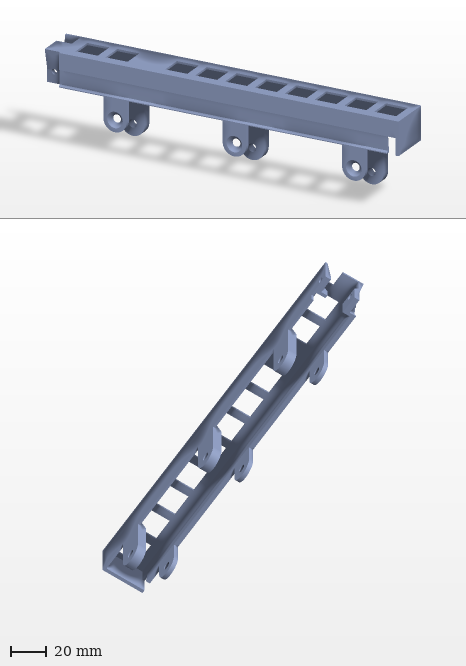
import cadquery as cq

LENGTH = 226.5
WIDTH = 27.2
BODY_HEIGHT = 21.0
X_LEFT = -LENGTH / 2
X_RIGHT = LENGTH / 2
Y_FRONT = -WIDTH / 2
Y_BACK = WIDTH / 2

WALL = 1.5
PLATE = 1.4
END_WALL = 2.0

GROOVE_TOP = -10.5
GROOVE_BOTTOM = -19.5
GROOVE_DEPTH_TOP = 0.57
GROOVE_DEPTH = GROOVE_DEPTH_TOP + 0.5
LIP_TOP = GROOVE_BOTTOM - GROOVE_DEPTH

NOTCH_LENGTH = 5.5

TAB_LENGTH = 9.7
X_RIB = X_LEFT + TAB_LENGTH
RIB_THICKNESS = 2.0
OPENING_HALF_TOP = 8.5
OPENING_HALF_BOTTOM = 6.0
OPENING_SLOPE_TOP = -8.4
OPENING_SLOPE_BOTTOM = -11.3
BACK_TAB_BOTTOM = -16.3
BACK_RELIEF_LENGTH = 4.5
TAB_SLOPE_BOTTOM = -13.1
FRONT_TAB_SETBACK_TOP = 1.4
FRONT_TAB_SETBACK_BOTTOM = 4.3
BACK_TAB_THICKNESS_TOP = 1.4
BACK_TAB_THICKNESS_BOTTOM = 3.6
TONGUE_BACK_EDGE = 1.8
TAB_HOLE_DIAMETER = 3.5
FRONT_TAB_HOLE = (-108.8, -14.0)
BACK_TAB_HOLE = (-108.3, -13.4)

WINDOW_SIZE = 14.0
WINDOW_PLACES = 11
WINDOW_ROW_SPAN = 190.5
WINDOW_PITCH = WINDOW_ROW_SPAN / (WINDOW_PLACES - 1)
CLOSED_PLACE = 2
FIRST_WINDOW_X = -89.3

LUG_PAIRS = 3
LUG_PITCH = 4 * WINDOW_PITCH
FIRST_LUG_X = -67.7
LUG_RADIUS = 7.5
LUG_HOLE_DIAMETER = 5.0
COUNTERSINK_DIAMETER = 10.0
COUNTERSINK_ANGLE = 90
FRONT_LUG_THICKNESS = 2.7
FRONT_LUG_Z = -34.0
BACK_LUG_THICKNESS = 5.7
BACK_LUG_Z = -44.0
GUSSET_TOP = -15.9


def prism_x(points, x_start, x_end):
    """Extrude a (Y, Z) outline along X."""
    return cq.Workplane("YZ", origin=(x_start, 0, 0)).polyline(points).close().extrude(x_end - x_start)


def box(x_start, x_end, y_start, y_end, z_start, z_end):
    size = (x_end - x_start, y_end - y_start, z_end - z_start)
    return cq.Workplane("XY").box(*size, centered=False).translate((x_start, y_start, z_start))


def cylinder_y(x, z, radius, y_start, y_end):
    """Cylinder along Y, centred at (x, z)."""
    return cq.Workplane("XZ", origin=(x, y_start, z)).circle(radius).extrude(y_start - y_end)


def make_shell():
    """Channel open below with a right end wall, a front notch and a relief low in the back wall."""
    y_groove = Y_FRONT + GROOVE_DEPTH
    outside = [
        (Y_BACK, 0),
        (Y_FRONT, 0),
        (Y_FRONT, GROOVE_TOP),
        (Y_FRONT + GROOVE_DEPTH_TOP, GROOVE_TOP),
        (y_groove, GROOVE_BOTTOM),
        (Y_FRONT, LIP_TOP),
        (Y_FRONT, -BODY_HEIGHT),
        (Y_BACK, -BODY_HEIGHT),
    ]
    cavity = [
        (Y_BACK - WALL, -PLATE),
        (Y_FRONT + WALL, -PLATE),
        (Y_FRONT + WALL, GROOVE_TOP),
        (y_groove + WALL, GROOVE_BOTTOM),
        (y_groove + WALL, -BODY_HEIGHT),
        (Y_BACK - WALL, -BODY_HEIGHT),
    ]
    x_end_wall = X_RIGHT - END_WALL
    x_notch = x_end_wall - NOTCH_LENGTH
    shell = prism_x(outside, X_RIB, x_end_wall)
    shell = shell.union(box(x_end_wall, X_RIGHT, Y_FRONT, Y_BACK, -BODY_HEIGHT, 0))
    shell = shell.cut(prism_x(cavity, X_RIB + RIB_THICKNESS, x_end_wall))
    shell = shell.cut(box(x_notch, x_end_wall, Y_FRONT, 0, -BODY_HEIGHT, GROOVE_TOP))
    return shell.cut(box(X_RIB, X_RIB + BACK_RELIEF_LENGTH, 0, Y_BACK, -BODY_HEIGHT, BACK_TAB_BOTTOM))


def cut_rib_opening(body):
    """Passage through the left rib, narrower towards the bottom."""
    passage = [
        (OPENING_HALF_TOP, -PLATE),
        (-OPENING_HALF_TOP, -PLATE),
        (-OPENING_HALF_TOP, OPENING_SLOPE_TOP),
        (-OPENING_HALF_BOTTOM, OPENING_SLOPE_BOTTOM),
        (-OPENING_HALF_BOTTOM, -BODY_HEIGHT),
        (OPENING_HALF_BOTTOM, -BODY_HEIGHT),
        (OPENING_HALF_BOTTOM, OPENING_SLOPE_BOTTOM),
        (OPENING_HALF_TOP, OPENING_SLOPE_TOP),
    ]
    return body.cut(prism_x(passage, X_RIB, X_RIB + RIB_THICKNESS))


def make_front_tab():
    """Hook-shaped tab: a tongue of the top plate and a leg set back from the front face."""
    outline = [
        (TONGUE_BACK_EDGE, 0),
        (Y_FRONT + FRONT_TAB_SETBACK_TOP, 0),
        (Y_FRONT + FRONT_TAB_SETBACK_BOTTOM, TAB_SLOPE_BOTTOM),
        (Y_FRONT + FRONT_TAB_SETBACK_BOTTOM, -BODY_HEIGHT),
        (-OPENING_HALF_BOTTOM, -BODY_HEIGHT),
        (-OPENING_HALF_BOTTOM, OPENING_SLOPE_BOTTOM),
        (-OPENING_HALF_TOP, OPENING_SLOPE_TOP),
        (-OPENING_HALF_TOP, -PLATE),
        (TONGUE_BACK_EDGE, -PLATE),
    ]
    hole = cylinder_y(*FRONT_TAB_HOLE, TAB_HOLE_DIAMETER / 2, Y_FRONT, 0)
    return prism_x(outline, X_LEFT, X_RIB).cut(hole)


def make_back_tab():
    """Tab flush with the back face, thickening downwards."""
    outline = [
        (Y_BACK, 0),
        (Y_BACK - BACK_TAB_THICKNESS_TOP, 0),
        (Y_BACK - BACK_TAB_THICKNESS_BOTTOM, TAB_SLOPE_BOTTOM),
        (Y_BACK - BACK_TAB_THICKNESS_BOTTOM, BACK_TAB_BOTTOM),
        (Y_BACK, BACK_TAB_BOTTOM),
    ]
    hole = cylinder_y(*BACK_TAB_HOLE, TAB_HOLE_DIAMETER / 2, 0, Y_BACK)
    return prism_x(outline, X_LEFT, X_RIB).cut(hole)


def cut_windows(body):
    centres = [
        (FIRST_WINDOW_X + place * WINDOW_PITCH, 0)
        for place in range(WINDOW_PLACES)
        if place != CLOSED_PLACE
    ]
    windows = cq.Workplane("XY").pushPoints(centres).rect(WINDOW_SIZE, WINDOW_SIZE).extrude(-PLATE)
    return body.cut(windows)


def make_front_lug(x):
    """Round-ended lug with a hole countersunk from the front."""
    y_inner = Y_FRONT + FRONT_LUG_THICKNESS
    lug = box(x - LUG_RADIUS, x + LUG_RADIUS, Y_FRONT, y_inner, FRONT_LUG_Z, -BODY_HEIGHT)
    lug = lug.union(cylinder_y(x, FRONT_LUG_Z, LUG_RADIUS, Y_FRONT, y_inner))
    front_face = cq.Workplane("XZ", origin=(x, Y_FRONT, FRONT_LUG_Z)).add(lug)
    return front_face.pushPoints([(0, 0)]).cskHole(LUG_HOLE_DIAMETER, COUNTERSINK_DIAMETER, COUNTERSINK_ANGLE)


def make_back_lug(x):
    """Thicker round-ended lug, joined to the inside of the back wall by a sloped gusset."""
    y_inner = Y_BACK - BACK_LUG_THICKNESS
    outline = [
        (Y_BACK, GUSSET_TOP),
        (Y_BACK - WALL, GUSSET_TOP),
        (y_inner, -BODY_HEIGHT),
        (y_inner, BACK_LUG_Z),
        (Y_BACK, BACK_LUG_Z),
    ]
    lug = prism_x(outline, x - LUG_RADIUS, x + LUG_RADIUS)
    lug = lug.union(cylinder_y(x, BACK_LUG_Z, LUG_RADIUS, y_inner, Y_BACK))
    return lug.cut(cylinder_y(x, BACK_LUG_Z, LUG_HOLE_DIAMETER / 2, y_inner, Y_BACK))


body = cut_windows(cut_rib_opening(make_shell()))
body = body.union(make_front_tab()).union(make_back_tab())
for pair in range(LUG_PAIRS):
    lug_x = FIRST_LUG_X + pair * LUG_PITCH
    body = body.union(make_front_lug(lug_x)).union(make_back_lug(lug_x))

result = body